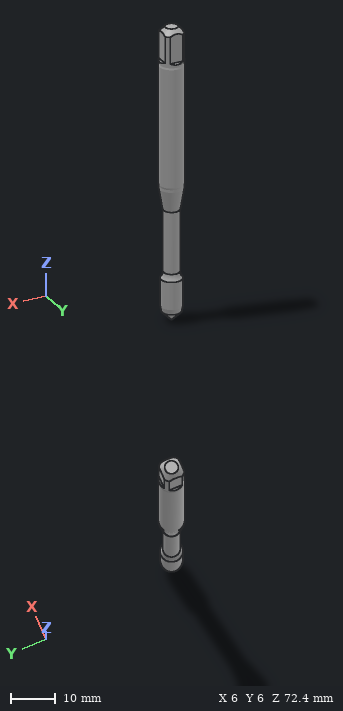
import cadquery as cq
import math

total_length = 72.4
point_height = 2.3
lead_top = 3.6
thread_top = 10.4
neck_bottom = 12.1
neck_top = 27.35
taper_bottom = 27.6
taper_top = 32.65
shank_bottom = 33.3
shank_top = 63.3
ledge_bottom = 64.05

shank_diameter = 6.0
shank_end_diameter = 5.8
drive_diameter = 5.8
neck_diameter = 3.9
taper_end_diameter = 4.1
thread_diameter = 5.15
point_diameter = 4.7
drive_tip_diameter = 3.05

square_width = 4.85
shank_edge_height = 0.4
drive_edge_height = 1.45
ledge_rise = 0.35


def revolve_profile(points):
    """Turn an outline of (diameter, height) points about the Z axis."""
    outline = [(diameter / 2, height) for diameter, height in points]
    return cq.Workplane("XZ").polyline(outline).close().revolve(360, (0, 0), (0, 1))


def make_drive_flat_cutter():
    """One cutter outside a drive flat, with a sloping ledge at its foot."""
    half_width = square_width / 2
    outer = shank_diameter
    ledge_run = drive_diameter / 2 - half_width
    ledge_top = ledge_bottom + ledge_rise
    outer_drop = outer * ledge_rise / ledge_run
    outline = [
        (half_width, total_length),
        (half_width, ledge_top),
        (half_width + outer, ledge_top - outer_drop),
        (half_width + outer, total_length),
    ]
    return cq.Workplane("XZ").polyline(outline).close().extrude(outer, both=True)


def make_shank():
    """Shank with a square drive at the top and a tapered neck below."""
    shank = revolve_profile([
        (0, neck_bottom),
        (neck_diameter, neck_bottom),
        (neck_diameter, neck_top),
        (taper_end_diameter, taper_bottom),
        (shank_end_diameter, taper_top),
        (shank_end_diameter, shank_bottom),
        (shank_diameter, shank_bottom + shank_edge_height),
        (shank_diameter, shank_top - shank_edge_height),
        (drive_diameter, shank_top),
        (drive_diameter, total_length - drive_edge_height),
        (drive_tip_diameter, total_length),
        (0, total_length),
    ])
    cutter = make_drive_flat_cutter()
    for side in range(4):
        shank = shank.cut(cutter.rotate((0, 0, 0), (0, 0, 1), 90 * side))
    return shank


def shoulder_midpoint():
    """Middle of the shoulder arc, which leaves the neck tangentially."""
    rise = neck_bottom - thread_top
    step = (thread_diameter - neck_diameter) / 2
    arc_radius = (rise**2 + step**2) / (2 * step)
    half_angle = math.asin(rise / arc_radius) / 2
    return (
        neck_diameter / 2 + arc_radius * (1 - math.cos(half_angle)),
        neck_bottom - arc_radius * math.sin(half_angle),
    )


def make_thread_head():
    """Head with a conical point, a tapered lead and a concave shoulder up to the neck."""
    neck_radius = neck_diameter / 2
    thread_radius = thread_diameter / 2
    return (
        cq.Workplane("XZ")
        .lineTo(point_diameter / 2, point_height)
        .lineTo(thread_radius, lead_top)
        .lineTo(thread_radius, thread_top)
        .threePointArc(shoulder_midpoint(), (neck_radius, neck_bottom))
        .lineTo(0, neck_bottom)
        .close()
        .revolve(360, (0, 0), (0, 1))
    )



shank = make_shank()
thread_head = make_thread_head()

result = cq.Compound.makeCompound([shank.val(), thread_head.val()])